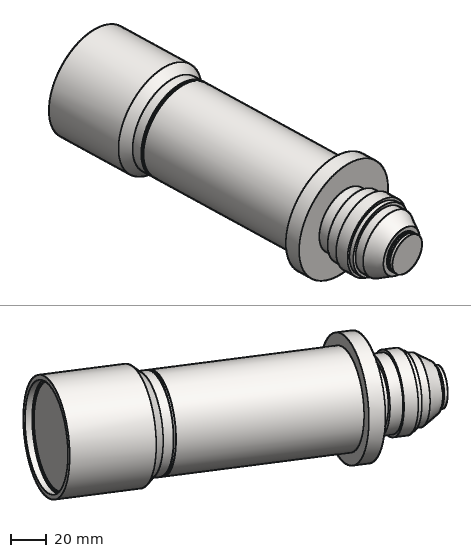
import cadquery as cq

total_length = 235.5
barrel_end = 51.8
barrel_radius = 35.0
tube_start = 58.0
tube_radius = 30.1
flange_start = 178.3
flange_end = 188.2
flange_radius = 37.5

groove_start = 64.3
groove_width = 1.5
groove_depth = 0.5

neck_radius = 20.5
collar_start = 196.6
collar_end = 215.7
collar_radius = 23.0
ring_start = 204.5
ring_end = 213.0
ring_radius = 24.7
nose_radius = 21.2
taper_start = 221.4
taper_end = 231.3
taper_end_radius = 15.3
tip_radius = 12.5
tip_groove_start = 232.0
tip_rim_start = 233.4
tip_groove_depth = 0.2

recess_radius = 32.3
recess_depth = 4.2
inner_recess_radius = 31.0
inner_recess_depth = 0.7


def cylinder(start, end, radius):
    """Solid cylinder on the X axis between two stations."""
    return cq.Workplane("YZ", origin=(start, 0, 0)).circle(radius).extrude(end - start)


def cone(start, end, start_radius, end_radius):
    """Solid cone frustum on the X axis between two stations."""
    outline = [(start, 0), (start, start_radius), (end, end_radius), (end, 0)]
    return cq.Workplane("XY").polyline(outline).close().revolve(360, (0, 0, 0), (1, 0, 0))


def make_body():
    groove_end = groove_start + groove_width
    return (
        cylinder(0, barrel_end, barrel_radius)
        .union(cone(barrel_end, tube_start, barrel_radius, tube_radius))
        .union(cylinder(tube_start, groove_start, tube_radius))
        .union(cylinder(groove_start, groove_end, tube_radius - groove_depth))
        .union(cylinder(groove_end, flange_start, tube_radius))
        .union(cylinder(flange_start, flange_end, flange_radius))
    )


def make_connector():
    return (
        cylinder(flange_end, collar_start, neck_radius)
        .union(cylinder(collar_start, collar_end, collar_radius))
        .union(cylinder(ring_start, ring_end, ring_radius))
        .union(cylinder(collar_end, taper_start, nose_radius))
        .union(cone(taper_start, taper_end, nose_radius, taper_end_radius))
        .union(cylinder(taper_end, tip_groove_start, tip_radius))
        .union(cylinder(tip_groove_start, tip_rim_start, tip_radius - tip_groove_depth))
        .union(cylinder(tip_rim_start, total_length, tip_radius))
    )


def make_recess():
    inner_end = recess_depth + inner_recess_depth
    outer_step = cylinder(0, recess_depth, recess_radius)
    return outer_step.union(cylinder(recess_depth, inner_end, inner_recess_radius))


centred_offset = -total_length / 2
result = make_body().union(make_connector()).cut(make_recess()).translate((centred_offset, 0, 0))